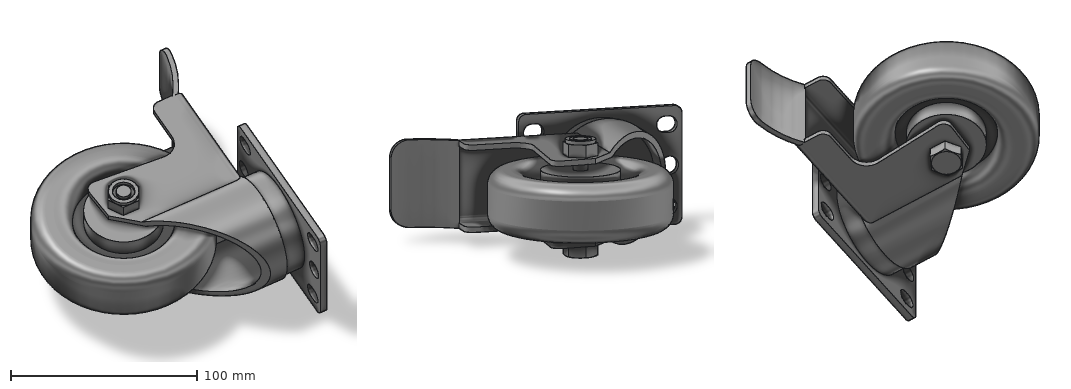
import cadquery as cq
import math


wheel_diameter = 100.0
wheel_width = 32.0
tread_radius = 8.0
recess_mouth_radius = 37.5
recess_depth = 10.0
hub_diameter = 43.0

axle_diameter = 8.0
hex_across_flats = 16.6
hex_height = 7.0
collar_diameter = 16.45
collar_bore = 12.0
collar_height = 2.0
head_chamfer_height = 0.6
head_face_diameter = 16.0

swivel_x = 35.0
plate_top = 80.0
plate_thickness = 4.0
plate_length = 92.0
plate_width = 65.0
plate_corner_radius = 4.0
slot_length = 11.5
slot_width = 9.0
slot_spacing_x = 75.0
slot_spacing_z = 45.0
round_hole_diameter = 10.0
round_hole_spacing = 78.0
swivel_collar_diameter = 57.0

fork_width = 48.0
fork_sheet = 3.0
fork_top = 64.5
fork_left = -50.4
outer_bend_radius = 5.0
inner_bend_radius = 3.0
arm_shelf_bottom = 44.1
shelf_corner_radius = 5.0
shelf_inner_radius = 10.0
leg_corner_radius = 5.0
leg_back_top = (-15.65, 38.0)
leg_back_foot = (-19.8, -13.6)
leg_front_foot = (4.75, -11.9)
shell_front_low = (65.0, 54.2)
shell_outer_diameter = 60.0
shell_inner_diameter = 53.0

lever_left = -85.0
lever_right = -50.0
lever_tip_top = 72.0
lever_outer_radius = 62.0
lever_thickness = 3.0
lever_corner_radius = 10.0

hex_across_corners = hex_across_flats / math.cos(math.pi / 6)
half_wheel = wheel_width / 2
half_fork = fork_width / 2
plate_bottom = plate_top - plate_thickness
shell_radius = shell_outer_diameter / 2
web_bottom = fork_top - fork_sheet


def cylinder_z(diameter, z_low, z_high):
    """Cylinder on the wheel axis between two heights."""
    return cq.Workplane("XY").workplane(offset=z_low).circle(diameter / 2).extrude(z_high - z_low)


def cylinder_y(diameter, y_low, y_high):
    """Cylinder on the swivel axis between two Y positions."""
    return (
        cq.Workplane("XZ", origin=(swivel_x, y_high, 0))
        .circle(diameter / 2)
        .extrude(y_high - y_low)
    )


def box_between(x_low, x_high, y_low, y_high, width):
    """Box between X and Y limits, centred on Z = 0."""
    centre = ((x_low + x_high) / 2, (y_low + y_high) / 2, 0)
    return cq.Workplane("XY").box(x_high - x_low, y_high - y_low, width).translate(centre)


def make_wheel():
    """Round-shouldered wheel with an annular recess in each face."""
    wheel = cylinder_z(wheel_diameter, -half_wheel, half_wheel).edges().fillet(tread_radius)
    profile = (
        cq.Workplane("XZ")
        .moveTo(hub_diameter / 2, half_wheel)
        .lineTo(recess_mouth_radius, half_wheel)
        .radiusArc((recess_mouth_radius - recess_depth, half_wheel - recess_depth), -recess_depth)
        .lineTo(hub_diameter / 2, half_wheel - recess_depth)
        .close()
    )
    recess = profile.revolve(360, (0, 0, 0), (0, 1, 0))
    return wheel.cut(recess).cut(recess.mirror("XY"))


def make_hexagon(z_low):
    """Hexagonal prism on the wheel axis with corners pointing along Y."""
    hexagon = cq.Workplane("XY").workplane(offset=z_low).polygon(6, hex_across_corners).extrude(hex_height)
    corner_turn = 30
    return hexagon.rotate((0, 0, 0), (0, 0, 1), corner_turn)


def make_axle():
    """Axle with a collared nut at its upper end and a hexagonal bolt head at the other."""
    nut_top = half_fork + hex_height
    axle_end = nut_top + collar_height
    nut_collar = cylinder_z(collar_diameter, nut_top, axle_end)
    nut_collar = nut_collar.cut(cylinder_z(collar_bore, nut_top, axle_end))
    corner_radius = hex_across_corners / 2
    head_envelope = (
        cq.Workplane("XZ")
        .moveTo(0, -nut_top)
        .lineTo(head_face_diameter / 2, -nut_top)
        .lineTo(corner_radius, -nut_top + head_chamfer_height)
        .lineTo(corner_radius, -half_fork)
        .lineTo(0, -half_fork)
        .close()
        .revolve(360, (0, 0, 0), (0, 1, 0))
    )
    bolt_head = make_hexagon(-nut_top).intersect(head_envelope)
    axle = cylinder_z(axle_diameter, -half_fork, axle_end)
    return axle.union(make_hexagon(half_fork)).union(nut_collar).union(bolt_head)


def make_mount():
    """Mounting plate with its bolt holes, and the swivel collar below it."""
    plate = (
        box_between(
            swivel_x - plate_length / 2, swivel_x + plate_length / 2, plate_bottom, plate_top, plate_width
        )
        .edges("|Y")
        .fillet(plate_corner_radius)
    )
    slots = (
        cq.Workplane("XZ", origin=(swivel_x, plate_top, 0))
        .rarray(slot_spacing_x, slot_spacing_z, 2, 2)
        .slot2D(slot_length, slot_width)
        .extrude(plate_thickness)
    )
    round_holes = (
        cq.Workplane("XZ", origin=(swivel_x, plate_top, 0))
        .rarray(round_hole_spacing, 1, 2, 1)
        .circle(round_hole_diameter / 2)
        .extrude(plate_thickness)
    )
    plate = plate.cut(slots).cut(round_holes)
    return plate.union(cylinder_y(swivel_collar_diameter, fork_top, plate_bottom))


def leg_shelf_corner():
    """Point where the back edge of the leg meets the underside of the shelf."""
    slope = (leg_back_top[0] - leg_back_foot[0]) / (leg_back_top[1] - leg_back_foot[1])
    return (leg_back_foot[0] + slope * (arm_shelf_bottom - leg_back_foot[1]), arm_shelf_bottom)


def round_corner(prism, corner, radius):
    """Fillet the Z edge of a prism at an XY corner."""
    selector = cq.selectors.NearestToPointSelector((corner[0], corner[1], 0))
    return prism.edges("|Z").edges(selector).fillet(radius)


def make_side_outline():
    """Prism of the fork's side shape, wide enough to span the swivel shell."""
    shell_right = shell_front_low[0]
    prism = (
        cq.Workplane("XY")
        .workplane(offset=-shell_radius)
        .moveTo(fork_left, fork_top)
        .lineTo(fork_left, arm_shelf_bottom)
        .lineTo(*leg_shelf_corner())
        .lineTo(*leg_back_foot)
        .lineTo(*leg_front_foot)
        .lineTo(*shell_front_low)
        .lineTo(shell_right, fork_top)
        .close()
        .extrude(shell_outer_diameter)
    )
    prism = round_corner(prism, (fork_left, arm_shelf_bottom), shelf_corner_radius)
    prism = round_corner(prism, leg_shelf_corner(), shelf_inner_radius)
    return round_corner(prism, leg_back_foot, leg_corner_radius)


def make_fork():
    """Bent channel with two legs, merging into a hollow cylindrical shell around the swivel axis."""
    channel = box_between(fork_left, swivel_x, leg_back_foot[1], fork_top, fork_width)
    channel = channel.edges("|X and >Y").fillet(outer_bend_radius)
    inside = box_between(
        fork_left, swivel_x, leg_back_foot[1], web_bottom, fork_width - 2 * fork_sheet
    )
    inside = inside.edges("|X and >Y").fillet(inner_bend_radius)

    shell = cylinder_y(shell_outer_diameter, leg_back_foot[1], fork_top)
    cavity = cylinder_y(shell_inner_diameter, leg_back_foot[1], fork_top)
    fork = channel.union(shell).cut(inside).cut(cavity)
    return fork.intersect(make_side_outline())


def make_lever():
    """Curved sheet that is level at its rounded tip and slopes down to the fork."""
    centre_y = lever_tip_top - lever_outer_radius
    inner_radius = lever_outer_radius - lever_thickness
    ring = (
        cq.Workplane("XY", origin=(lever_left, centre_y, -half_fork))
        .circle(lever_outer_radius)
        .circle(inner_radius)
        .extrude(fork_width)
    )
    blank = box_between(lever_left, lever_right, centre_y, lever_tip_top, fork_width)
    blank = blank.edges("|Y and <X").fillet(lever_corner_radius)
    return ring.intersect(blank)


result = make_mount().union(make_fork()).union(make_lever()).union(make_axle()).union(make_wheel())